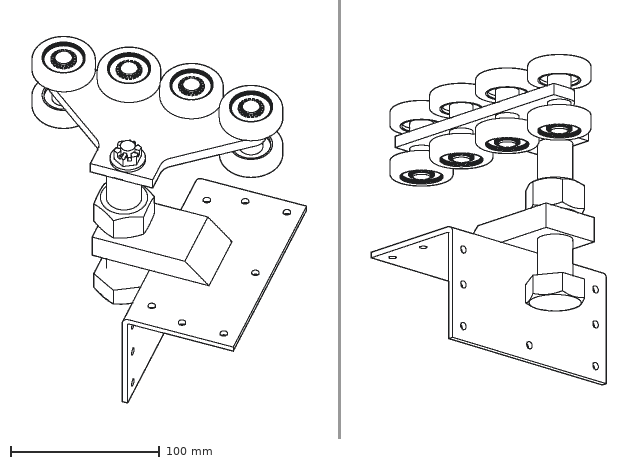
import cadquery as cq
import math


bracket_leg = 80.0
bracket_length = 143.3
bracket_right = 102.4
sheet = 4.0
bend_inner_radius = 1.0
bracket_left = bracket_right - bracket_leg
hole_dia = 5.0
hole_end_y = 61.6
leg_hole_depths = (15.1, 40.0, 69.6)
leg_middle_hole_depth = 69.0
flange_edge_hole_x = 91.8
flange_mid_hole_x = 61.8
flange_inner_hole_x = 37.1
flange_inner_hole_y = 53.8

arm_left = -17.5
arm_length = 84.2
arm_width = 45.0
arm_height = 17.5

bolt_offset = -2.7
bolt_dia = 24.0
hex_flats = 36.0
head_bottom = -45.0
head_height = 15.0
head_fillet = 1.3
head_face_dia = 35.2
nut_height = 21.8
nut_face_dia = 32.0
hex_chamfer_angle = 30

plate_bottom = 68.3
plate_thick = 8.0
plate_top = plate_bottom + plate_thick
plate_back = 72.7
plate_front = -12.2
tail_width = 45.0
neck_y = 7.8
plate_end_radius = 10.3
neck_radius = 11.0

roller_pitch = 45.0
roller_dia = 43.0
roller_width = 12.0
inner_roller_x = roller_pitch / 2
outer_roller_x = inner_roller_x + roller_pitch
inner_roller_y = 63.5
outer_roller_y = 57.8
roller_top = 96.5
outer_fillet = 2.7
inner_fillet = 1.0
spacer_dia = 16.0
recess_dia = 29.0
recess_mid_dia = 28.0
recess_floor_dia = 26.5
recess_depth = 2.3
outer_step_depth = 0.8
inner_step_depth = 0.2
axle_end_dia = 12.0
tooth_ring_dia = 17.5
tooth_root_dia = 13.0
tooth_ring_height = 1.0
tooth_count = 20
tooth_gap = 1.1

pin_dia = 10.0
pin_top = 89.7
washer_dia = 24.0
washer_thick = 2.1
castle_flats = 16.0
castle_height = 8.0
castle_slot_width = 2.7
castle_slot_depth = 3.5
cotter_dia = 2.5
cotter_z = 86.1


def cylinder(dia, z_from, z_to):
    return cq.Workplane("XY", origin=(0, 0, z_from)).circle(dia / 2).extrude(z_to - z_from)


def hexagon(flats, z_from, height):
    """Hexagonal prism with its corners on the Y axis."""
    corners = flats / math.cos(math.pi / 6)
    prism = cq.Workplane("XY").polygon(6, corners).extrude(height)
    return prism.rotate((0, 0, 0), (0, 0, 1), 90).translate((0, 0, z_from))


def chamfer_envelope(flats, face_dia, z_from, height, both_ends):
    """Turned body that cuts the corners of a hexagon down to round end faces."""
    corner_radius = flats / math.cos(math.pi / 6) / 2
    face_radius = face_dia / 2
    drop = (corner_radius - face_radius) * math.tan(math.radians(hex_chamfer_angle))
    profile = cq.Workplane("XZ").moveTo(0, 0).lineTo(face_radius, 0).lineTo(corner_radius, drop)
    if both_ends:
        profile = profile.lineTo(corner_radius, height - drop).lineTo(face_radius, height)
    else:
        profile = profile.lineTo(corner_radius, height)
    body = profile.lineTo(0, height).close().revolve(360, (0, 0, 0), (0, 1, 0))
    return body.translate((0, 0, z_from))


def angle_bracket():
    bracket = (
        cq.Workplane("XZ", origin=(0, bracket_length / 2, 0))
        .moveTo(bracket_right, 0)
        .lineTo(bracket_left, 0)
        .lineTo(bracket_left, -bracket_leg)
        .lineTo(bracket_left + sheet, -bracket_leg)
        .lineTo(bracket_left + sheet, -sheet)
        .lineTo(bracket_right, -sheet)
        .close()
        .extrude(bracket_length)
    )
    bracket = bracket.edges("|Y and (<X)").edges(">Z").fillet(bend_inner_radius + sheet)
    inner_corner = cq.selectors.NearestToPointSelector((bracket_left + sheet, 0, -sheet))
    bracket = bracket.edges("|Y").edges(inner_corner).fillet(bend_inner_radius)

    flange_points = [(flange_edge_hole_x, 0)]
    leg_points = [(0, -leg_middle_hole_depth)]
    for side in (-1, 1):
        flange_points.append((flange_edge_hole_x, side * hole_end_y))
        flange_points.append((flange_mid_hole_x, side * hole_end_y))
        flange_points.append((flange_inner_hole_x, side * flange_inner_hole_y))
        for depth in leg_hole_depths:
            leg_points.append((side * hole_end_y, -depth))
    flange_holes = cq.Workplane("XY").pushPoints(flange_points).circle(hole_dia / 2).extrude(-2 * sheet)
    leg_holes = (
        cq.Workplane("YZ", origin=(bracket_left - sheet, 0, 0))
        .pushPoints(leg_points)
        .circle(hole_dia / 2)
        .extrude(3 * sheet)
    )
    return bracket.cut(flange_holes).cut(leg_holes)


def support_arm():
    return (
        cq.Workplane("XZ", origin=(0, arm_width / 2, 0))
        .moveTo(arm_left, 0)
        .lineTo(arm_left + arm_length, 0)
        .lineTo(arm_left + arm_length - arm_height, arm_height)
        .lineTo(arm_left, arm_height)
        .close()
        .extrude(arm_width)
    )


def bolt_and_nut():
    head_top = head_bottom + head_height
    head = hexagon(hex_flats, head_bottom, head_height).intersect(
        chamfer_envelope(hex_flats, head_face_dia, head_bottom, head_height, False)
    )
    nut = hexagon(hex_flats, arm_height, nut_height).intersect(
        chamfer_envelope(hex_flats, nut_face_dia, arm_height, nut_height, True)
    )
    radius = bolt_dia / 2
    shank = (
        cq.Workplane("XZ")
        .moveTo(0, head_top)
        .lineTo(radius + head_fillet, head_top)
        .radiusArc((radius, head_top + head_fillet), head_fillet)
        .lineTo(radius, plate_bottom)
        .lineTo(0, plate_bottom)
        .close()
        .revolve(360, (0, 0, 0), (0, 1, 0))
    )
    return head.union(shank).union(nut).translate((bolt_offset, 0, 0))


def carrier_plate():
    """Plate whose ends wrap the outer rollers' axles and slope tangentially to a narrow tail."""
    tail_half_width = tail_width / 2
    end_x = outer_roller_x
    rise = outer_roller_y - neck_y
    run = end_x - tail_half_width
    slope = math.atan2(rise, run) - math.asin(plate_end_radius / math.hypot(run, rise))
    half = (
        cq.Workplane("XY", origin=(0, 0, plate_bottom))
        .moveTo(0, plate_front)
        .lineTo(tail_half_width, plate_front)
        .lineTo(tail_half_width, neck_y)
        .lineTo(
            end_x + plate_end_radius * math.sin(slope),
            outer_roller_y - plate_end_radius * math.cos(slope),
        )
        .threePointArc(
            (
                end_x + plate_end_radius * math.cos(slope / 2 - math.pi / 4),
                outer_roller_y + plate_end_radius * math.sin(slope / 2 - math.pi / 4),
            ),
            (end_x + plate_end_radius, outer_roller_y),
        )
        .lineTo(end_x + plate_end_radius, plate_back)
        .lineTo(0, plate_back)
        .close()
        .extrude(plate_thick)
    )
    corner_point = (tail_half_width, neck_y, plate_bottom + plate_thick / 2)
    neck_corner = cq.selectors.NearestToPointSelector(corner_point)
    half = half.edges(neck_corner).fillet(neck_radius)
    return half.union(half.mirror("YZ"))


def tooth_ring():
    """Ring of radial teeth standing on Z = 0."""
    ring = cylinder(tooth_ring_dia, 0, tooth_ring_height)
    gaps = (
        cq.Workplane("XY")
        .polarArray(tooth_ring_dia / 2, 0, 360, tooth_count)
        .rect(tooth_ring_dia - tooth_root_dia, tooth_gap)
        .extrude(tooth_ring_height)
    )
    return ring.cut(gaps)


def roller():
    """Roller with its axle upright, outer face at Z = 0 and inner face below."""
    body = cylinder(roller_dia, -roller_width, 0)
    body = body.faces(">Z").edges().fillet(outer_fillet)
    body = body.faces("<Z").edges().fillet(inner_fillet)
    outer_steps = (
        (recess_dia, outer_step_depth),
        (recess_mid_dia, 2 * outer_step_depth),
        (recess_floor_dia, recess_depth),
    )
    for dia, depth in outer_steps:
        body = body.cut(cylinder(dia, -depth, 0))
    inner_steps = ((recess_dia, inner_step_depth), (recess_floor_dia, recess_depth))
    for dia, depth in inner_steps:
        body = body.cut(cylinder(dia, -roller_width, depth - roller_width))
    ring = tooth_ring().translate((0, 0, -recess_depth))
    axle_end = cylinder(axle_end_dia, -recess_depth, 0)
    return body.union(ring).union(axle_end)


def roller_pairs():
    middle_z = plate_bottom + plate_thick / 2
    axle_top = roller_top - recess_depth
    upper = roller().translate((0, 0, roller_top))
    lower = upper.mirror("XY", (0, 0, middle_z))
    pair = cylinder(spacer_dia, 2 * middle_z - axle_top, axle_top).union(upper).union(lower)
    pairs = cq.Workplane("XY")
    for side in (-1, 1):
        for x, y in ((inner_roller_x, inner_roller_y), (outer_roller_x, outer_roller_y)):
            pairs = pairs.union(pair.translate((side * x, y, 0)))
    return pairs


def hanger_pin():
    washer_top = plate_top + washer_thick
    castle_top = washer_top + castle_height
    castle = hexagon(castle_flats, washer_top, castle_height)
    slot = (
        cq.Workplane("XY", origin=(0, 0, castle_top - castle_slot_depth))
        .rect(2 * castle_flats, castle_slot_width)
        .extrude(castle_slot_depth)
    )
    for turn in (0, 60, 120):
        castle = castle.cut(slot.rotate((0, 0, 0), (0, 0, 1), turn))
    pin = cylinder(pin_dia, plate_bottom, pin_top)
    cotter_hole = (
        cq.Workplane("XZ", origin=(0, pin_dia, cotter_z)).circle(cotter_dia / 2).extrude(2 * pin_dia)
    )
    washer = cylinder(washer_dia, plate_top, washer_top)
    return castle.union(washer).union(pin).cut(cotter_hole)


result = (
    angle_bracket()
    .union(support_arm())
    .union(bolt_and_nut())
    .union(carrier_plate())
    .union(hanger_pin())
    .union(roller_pairs())
)